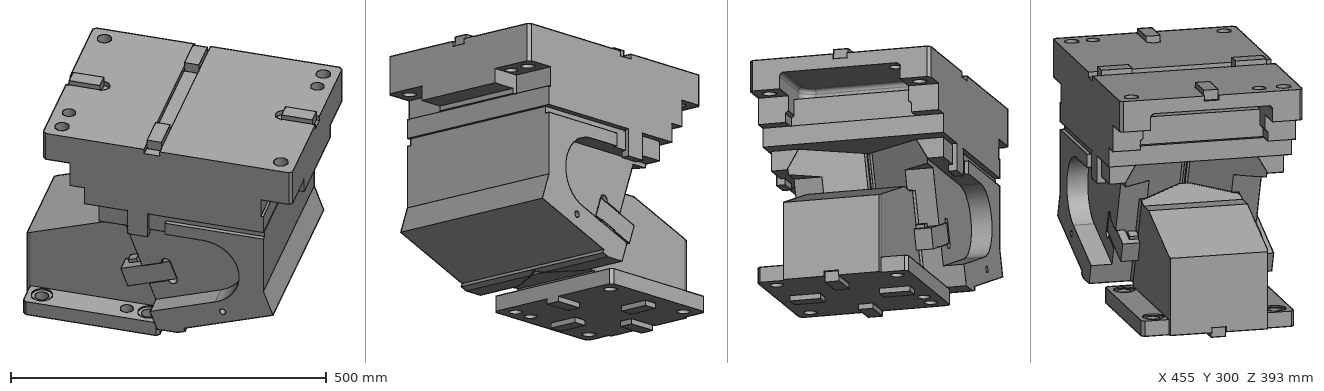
import cadquery as cq
import math

TILT = 20.0
COS = math.cos(math.radians(TILT))
SIN = math.sin(math.radians(TILT))

HALF_WIDTH = 300.0 / 2

BLOCK_N = 221.5
WAIST_N = 227.0
WAIST_HALF = 79.5
PLATE_HALF = 82.5
SLIDER_FACE_N = 233.0
GROOVE_HALF = 69.0
V_SLOPE = math.tan(math.radians(30))
RIDGE_FLAT_HALF = 9.0
RIDGE_PEAK_N = 265.0
PLATE_DROP = 2.0
GROOVE_FLAT_HALF = 6.5
RELIEF_HALF = 2.5
RELIEF_DEPTH = 4.5
V_TOP_T = 116.5
V_REACH = 364.0

DRIVER_HALF = 81.0
BODY_BOTTOM = 8.5
DRIVER_LENGTH = 230.0
FRONT_TOP = 135.0
SHOULDER_X = 127.5
SHOULDER_Z = 181.0
FRONT_CHAMFER_X = 5.5
FRONT_CHAMFER_Y = 1.5
FLANGE_START = 5.5
FLANGE_HALF = 125.0
FLANGE_TOP = 33.5
CORNER_CHAMFER = 5.0
FLANGE_HOLE_Y = 100.0
FLANGE_HOLE_END = 24.5
FLANGE_HOLE_R = 11.0
COUNTERBORE_R = 17.0
COUNTERBORE_DEPTH = 2.5
FLANGE_DOWEL_X = 169.5
DOWEL_R = 10.5

KEY_LENGTH = 50.5
KEY_WIDTH = 23.5
CROSS_SLOT_WIDTH = 25.5
KEY_SINK = 8.0
BASE_KEY_X = 109.0
BASE_KEY_START = 4.5
BASE_KEY_Y = 74.5

SLIDER_UPPER_HALF = 143.0
WEB_HALF = 115.5
SLIDER_TOP = 259.0
SLIDER_TIP = 136.0
TIP_BOTTOM = 219.5
SLIDER_BACK = 408.0
SLIDER_BOTTOM = 39.5
HEEL_N = 433.5
HEEL_T = -48.2
TOE_T = -54.0
TOE_END_N = 277.5
PAD_START = 246.0
PAD_TOP = 248.0
POCKET_TOP = 226.5
POCKET_R = 59.5
POCKET_X = 308.5
SIDE_HOLE = (341.2, 94.0)
SIDE_HOLE_R = 5.0
SIDE_HOLE_DEPTH = 18.0

BAR_START_N = 194.7
BAR_END_N = 281.0
BAR_LOW_T = 22.8
BAR_HIGH_T = 56.5
BAR_INNER = 85.5
BAR_OUTER = 113.8
BAR_RELIEF_R = 7.5
LIP_START_N = 205.5
LIP_END_N = 220.0
LIP_TOP_T = 62.5
LIP_OUTER = 100.0
BAR_NOTCH_T = 38.5

HOLDER_FRONT = 45.0
HOLDER_BACK = 455.0
HOLDER_TOP = 385.0
HOLDER_BOTTOM = 260.5
FRONT_LIP_BOTTOM = 335.0
BACK_LIP_BOTTOM = 323.5
STEP_1_X = 90.0
STEP_2_X = 113.8
STEP_Z = 291.5
BACK_RELIEF_X = 404.0
STOP_BOTTOM = 300.0
STOP_NECK_X = 412.2
STOP_HALF = 77.5
RECESS_HALF = 100.0
RECESS_TOP = 361.5
RECESS_LEDGE = 336.5
RECESS_LOWER_END = 120.5
RECESS_UPPER_END = 164.0
RECESS_CORNER_R = 22.8
RECESS_TOP_FILLET = 7.5
FOOT_HALF = 104.5
FOOT_TOP = 306.5
FOOT_SLOPE = 3.5
TAB_START = 184.7
TAB_END = 218.0
TAB_BOTTOM = 216.0
TAB_INNER = 136.0
PLATE_HOLE_R = 11.5
PLATE_HOLE_INSET = 25.0
HOLDER_DOWELS = [(70.5, -85.0), (430.0, 90.0)]
CROSS_SLOT_X = 224.8
CROSS_KEY_Y = 110.0
END_KEY_INSET = 5.0
END_SLOT_LENGTH = 68.2


def cam_point(n, t):
    """X, Z of a point n along the cam normal and t up the cam slope."""
    return (n * COS - t * SIN, n * SIN + t * COS)


def cam_face_at_height(n, z):
    """X, Z where the plane n along the cam normal crosses height z."""
    return ((n - z * SIN) / COS, z)


def box(x, y, z):
    """Box between the (low, high) limits on each axis."""
    size = (x[1] - x[0], y[1] - y[0], z[1] - z[0])
    return cq.Workplane("XY").box(*size, centered=False).translate((x[0], y[0], z[0]))


def side_profile(points, y):
    """Closed X-Z outline extruded between the (low, high) limits on Y."""
    return cq.Workplane("XZ", origin=(0, y[0], 0)).polyline(points).close().extrude(y[0] - y[1])


def both_sides(shape):
    """A shape at +Y together with its mirror image at -Y."""
    return shape.union(shape.mirror("XZ"))


def post(points, radius, z):
    """Vertical cylinders at X-Y points between the (low, high) limits on Z."""
    return cq.Workplane("XY", origin=(0, 0, z[0])).pushPoints(points).circle(radius).extrude(z[1] - z[0])


def cam_prism(half_outline, t):
    """Symmetric outline of (n, y) points extruded up the cam slope between the limits t."""
    outline = half_outline + [(n, -y) for n, y in reversed(half_outline)]
    plane = cq.Plane(
        origin=(-t[0] * SIN, 0, t[0] * COS), xDir=(COS, 0, SIN), normal=(-SIN, 0, COS)
    )
    return cq.Workplane(plane).polyline(outline).close().extrude(t[1] - t[0])


def cam_box(n, t, y):
    """Box aligned with the cam face."""
    corners = [(n[0], t[0]), (n[1], t[0]), (n[1], t[1]), (n[0], t[1])]
    return side_profile([cam_point(*corner) for corner in corners], y)


def key_set(cross_x, cross_y, end_starts, z):
    """A pair of cross keys and one lengthwise key at each of the end positions."""
    half_width = KEY_WIDTH / 2
    half_length = KEY_LENGTH / 2
    cross_width = (cross_x - half_width, cross_x + half_width)
    keys = both_sides(box(cross_width, (cross_y - half_length, cross_y + half_length), z))
    for start in end_starts:
        keys = keys.union(box((start, start + KEY_LENGTH), (-half_width, half_width), z))
    return keys


def driver_block():
    outline = [
        (0, BODY_BOTTOM),
        (0, FRONT_TOP),
        (SHOULDER_X, SHOULDER_Z),
        ((SHOULDER_Z * COS - V_TOP_T) / SIN, SHOULDER_Z),
        cam_point(BLOCK_N, V_TOP_T),
        cam_face_at_height(BLOCK_N, BODY_BOTTOM),
    ]
    block = side_profile(outline, (-DRIVER_HALF, DRIVER_HALF))
    half_plan = [
        (0, DRIVER_HALF - FRONT_CHAMFER_Y),
        (FRONT_CHAMFER_X, DRIVER_HALF),
        (DRIVER_LENGTH, DRIVER_HALF),
    ]
    plan = half_plan + [(x, -y) for x, y in reversed(half_plan)]
    return block.intersect(cq.Workplane("XY").polyline(plan).close().extrude(HOLDER_TOP))


def driver_ridge():
    """V ridge faced with overhanging guide plates, ending level with the slider's bottom."""
    waist = [(BLOCK_N, DRIVER_HALF), (WAIST_N, WAIST_HALF)]
    plate = [(SLIDER_FACE_N, PLATE_HALF), (SLIDER_FACE_N, GROOVE_HALF)]
    peak = [(RIDGE_PEAK_N, RIDGE_FLAT_HALF)]
    low_end = V_TOP_T - V_REACH
    core = cam_prism(waist + peak, (low_end, V_TOP_T))
    faced = cam_prism(waist + plate + peak, (low_end, V_TOP_T - PLATE_DROP))
    room = box((0, HOLDER_BACK), (-HALF_WIDTH, HALF_WIDTH), (SLIDER_BOTTOM, HOLDER_TOP))
    return core.union(faced).intersect(room)


def driver_flange():
    flange = box((FLANGE_START, DRIVER_LENGTH), (-FLANGE_HALF, FLANGE_HALF), (BODY_BOTTOM, FLANGE_TOP))
    return flange.edges("|Z").chamfer(CORNER_CHAMFER)


def flange_holes():
    hole_x = (FLANGE_START + FLANGE_HOLE_END, DRIVER_LENGTH - FLANGE_HOLE_END)
    bolts = [(x, y) for x in hole_x for y in (-FLANGE_HOLE_Y, FLANGE_HOLE_Y)]
    holes = post(bolts, FLANGE_HOLE_R, (0, FLANGE_TOP))
    counterbores = post(bolts, COUNTERBORE_R, (FLANGE_TOP - COUNTERBORE_DEPTH, FLANGE_TOP))
    dowel = post([(FLANGE_DOWEL_X, -FLANGE_HOLE_Y)], DOWEL_R, (0, FLANGE_TOP))
    return holes.union(counterbores).union(dowel)


def front_key_slot():
    """Open front end of the lengthwise key slot."""
    z = (BODY_BOTTOM, BODY_BOTTOM + KEY_SINK)
    return box((0, BASE_KEY_START), (-KEY_WIDTH / 2, KEY_WIDTH / 2), z)


def base_keys():
    end_starts = (BASE_KEY_START, DRIVER_LENGTH - KEY_LENGTH)
    return key_set(BASE_KEY_X, BASE_KEY_Y, end_starts, (0, BODY_BOTTOM + KEY_SINK))


def make_driver():
    body = driver_block().union(driver_ridge()).union(driver_flange())
    return body.cut(flange_holes()).cut(front_key_slot()).union(base_keys())


def slider_outline():
    bottom_toe_x = (SLIDER_BOTTOM * COS - TOE_T) / SIN
    back_corner_z = (HEEL_N - SLIDER_BACK * COS) / SIN
    return [
        (SLIDER_TIP, SLIDER_TOP),
        (SLIDER_TIP, TIP_BOTTOM),
        cam_face_at_height(SLIDER_FACE_N, TIP_BOTTOM),
        cam_face_at_height(SLIDER_FACE_N, SLIDER_BOTTOM),
        (bottom_toe_x, SLIDER_BOTTOM),
        cam_point(TOE_END_N, TOE_T),
        cam_point(TOE_END_N, HEEL_T),
        cam_point(HEEL_N, HEEL_T),
        (SLIDER_BACK, back_corner_z),
        (SLIDER_BACK, SLIDER_TOP),
    ]


def pad_clearance():
    """Thin cut at +Y that leaves the raised side pad below and behind it."""
    outline = [
        (SLIDER_TIP, POCKET_TOP),
        (PAD_START, POCKET_TOP),
        (PAD_START, PAD_TOP),
        (SLIDER_BACK, PAD_TOP),
        (SLIDER_BACK, SLIDER_TOP),
        (SLIDER_TIP, SLIDER_TOP),
    ]
    return side_profile(outline, (SLIDER_UPPER_HALF, HALF_WIDTH))


def side_pocket():
    """Pocket at +Y, open toward the driver, with a round closed end."""
    centre_z = POCKET_TOP - POCKET_R
    mid_angle = math.radians(TILT / 2)
    arc_mid = (POCKET_X + POCKET_R * math.cos(mid_angle), centre_z + POCKET_R * math.sin(mid_angle))
    arc_end = (POCKET_X + POCKET_R * SIN, centre_z - POCKET_R * COS)
    low_left = (arc_end[0] - POCKET_X * COS, arc_end[1] - POCKET_X * SIN)
    return (
        cq.Workplane("XZ", origin=(0, WEB_HALF, 0))
        .moveTo(0, POCKET_TOP)
        .lineTo(POCKET_X, POCKET_TOP)
        .threePointArc(arc_mid, arc_end)
        .lineTo(*low_left)
        .close()
        .extrude(WEB_HALF - HALF_WIDTH)
    )


def side_hole():
    start = HALF_WIDTH - SIDE_HOLE_DEPTH
    return (
        cq.Workplane("XZ", origin=(0, start, 0))
        .center(*SIDE_HOLE)
        .circle(SIDE_HOLE_R)
        .extrude(-SIDE_HOLE_DEPTH)
    )


def tab_notch():
    return box((TAB_START, TAB_END), (TAB_INNER, HALF_WIDTH), (TAB_BOTTOM, SLIDER_TOP))


def bar_seat():
    """Seat of the return bar in the web at +Y, relieved at its two closed corners."""
    seat = cam_box((BAR_START_N, BAR_END_N), (BAR_LOW_T, BAR_HIGH_T), (BAR_INNER, WEB_HALF))
    relief_n = BAR_END_N - BAR_RELIEF_R
    corners = [cam_point(relief_n, BAR_LOW_T), cam_point(relief_n, BAR_HIGH_T)]
    reliefs = (
        cq.Workplane("XZ", origin=(0, BAR_INNER, 0))
        .pushPoints(corners)
        .circle(BAR_RELIEF_R)
        .extrude(BAR_INNER - WEB_HALF)
    )
    return seat.union(reliefs)


def return_bar():
    """Return bar at +Y with a small lip on its upper face and a notch behind the lip."""
    bar = cam_box((BAR_START_N, BAR_END_N), (BAR_LOW_T, BAR_HIGH_T), (BAR_INNER, BAR_OUTER))
    lip = cam_box((LIP_START_N, LIP_END_N), (BAR_HIGH_T, LIP_TOP_T), (BAR_INNER, LIP_OUTER))
    notch = cam_box((LIP_END_N, SLIDER_FACE_N), (BAR_NOTCH_T, BAR_HIGH_T), (BAR_INNER, LIP_OUTER))
    return bar.cut(notch).union(lip)


def v_groove():
    """V groove along the whole cam face, with a relief slot along its bottom."""
    outer_half = GROOVE_HALF + SLIDER_FACE_N / V_SLOPE
    bottom_n = SLIDER_FACE_N + (GROOVE_HALF - GROOVE_FLAT_HALF) * V_SLOPE
    half_outline = [
        (0, outer_half),
        (bottom_n, GROOVE_FLAT_HALF),
        (bottom_n, RELIEF_HALF),
        (bottom_n + RELIEF_DEPTH, RELIEF_HALF),
    ]
    return cam_prism(half_outline, (V_TOP_T - V_REACH, V_TOP_T + V_REACH))


def make_slider():
    body = side_profile(slider_outline(), (-HALF_WIDTH, HALF_WIDTH))
    for feature in (pad_clearance(), side_pocket(), side_hole(), tab_notch(), bar_seat()):
        body = body.cut(both_sides(feature))
    return body.cut(v_groove()).union(both_sides(return_bar()))


def holder_block():
    outline = [
        (HOLDER_FRONT, HOLDER_TOP),
        (HOLDER_FRONT, FRONT_LIP_BOTTOM),
        (STEP_1_X, FRONT_LIP_BOTTOM),
        (STEP_1_X, STEP_Z),
        (STEP_2_X, STEP_Z),
        (STEP_2_X, HOLDER_BOTTOM),
        (SLIDER_BACK, HOLDER_BOTTOM),
        (SLIDER_BACK, STEP_Z),
        (BACK_RELIEF_X, STEP_Z),
        (BACK_RELIEF_X, BACK_LIP_BOTTOM),
        (HOLDER_BACK, BACK_LIP_BOTTOM),
        (HOLDER_BACK, HOLDER_TOP),
    ]
    block = side_profile(outline, (-HALF_WIDTH, HALF_WIDTH))
    return block.edges("|Z").edges("<X or >X").chamfer(CORNER_CHAMFER)


def back_stop():
    """Narrow stop under the back lip."""
    outline = [
        (BACK_RELIEF_X, BACK_LIP_BOTTOM),
        (BACK_RELIEF_X, STEP_Z),
        (STOP_NECK_X, STEP_Z),
        (STOP_NECK_X, STOP_BOTTOM),
        (HOLDER_BACK, STOP_BOTTOM),
        (HOLDER_BACK, BACK_LIP_BOTTOM),
    ]
    return side_profile(outline, (-STOP_HALF, STOP_HALF))


def front_recess():
    """Recess under the front lip: a shallow lower stage, a deeper upper stage and a wider foot."""
    width = (-RECESS_HALF, RECESS_HALF)
    upper = box((HOLDER_FRONT, RECESS_UPPER_END), width, (RECESS_LEDGE, RECESS_TOP))
    upper = upper.edges("|Z and >X").fillet(RECESS_CORNER_R)
    upper = upper.faces(">Z").edges("not <X").fillet(RECESS_TOP_FILLET)
    lower = box((HOLDER_FRONT, RECESS_LOWER_END), width, (STEP_Z, RECESS_LEDGE))
    half_foot = [(FOOT_HALF, STEP_Z), (FOOT_HALF, FOOT_TOP), (RECESS_HALF, FOOT_TOP + FOOT_SLOPE)]
    foot_outline = half_foot + [(-y, z) for y, z in reversed(half_foot)]
    foot = (
        cq.Workplane("YZ", origin=(HOLDER_FRONT, 0, 0))
        .polyline(foot_outline)
        .close()
        .extrude(RECESS_LOWER_END - HOLDER_FRONT)
    )
    return upper.union(lower).union(foot)


def side_tabs():
    return both_sides(box((TAB_START, TAB_END), (TAB_INNER, HALF_WIDTH), (TAB_BOTTOM, HOLDER_BOTTOM)))


def plate_holes():
    hole_x = (HOLDER_FRONT + PLATE_HOLE_INSET, HOLDER_BACK - PLATE_HOLE_INSET)
    hole_y = HALF_WIDTH - PLATE_HOLE_INSET
    bolts = [(x, y) for x in hole_x for y in (-hole_y, hole_y)]
    z = (BACK_LIP_BOTTOM, HOLDER_TOP)
    return post(bolts, PLATE_HOLE_R, z).union(post(HOLDER_DOWELS, DOWEL_R, z))


def key_slots():
    z = (HOLDER_TOP - KEY_SINK, HOLDER_TOP)
    cross_half = CROSS_SLOT_WIDTH / 2
    slots = box((CROSS_SLOT_X - cross_half, CROSS_SLOT_X + cross_half), (-HALF_WIDTH, HALF_WIDTH), z)
    half = KEY_WIDTH / 2
    for edge, inward in ((HOLDER_FRONT, 1), (HOLDER_BACK, -1)):
        round_x = edge + inward * (END_SLOT_LENGTH - half)
        straight = box((min(edge, round_x), max(edge, round_x)), (-half, half), z)
        slots = slots.union(straight).union(post([(round_x, 0)], half, z))
    return slots


def top_keys():
    end_starts = (HOLDER_FRONT + END_KEY_INSET, HOLDER_BACK - END_KEY_INSET - KEY_LENGTH)
    z = (HOLDER_TOP - KEY_SINK, HOLDER_TOP + KEY_SINK)
    return key_set(CROSS_SLOT_X, CROSS_KEY_Y, end_starts, z)


def make_holder():
    body = holder_block().union(back_stop()).union(side_tabs())
    for feature in (front_recess(), plate_holes(), key_slots()):
        body = body.cut(feature)
    return body.union(top_keys())


driver = make_driver()
slider = make_slider()
holder = make_holder()

result = cq.Compound.makeCompound([body.solids().val() for body in (driver, slider, holder)])